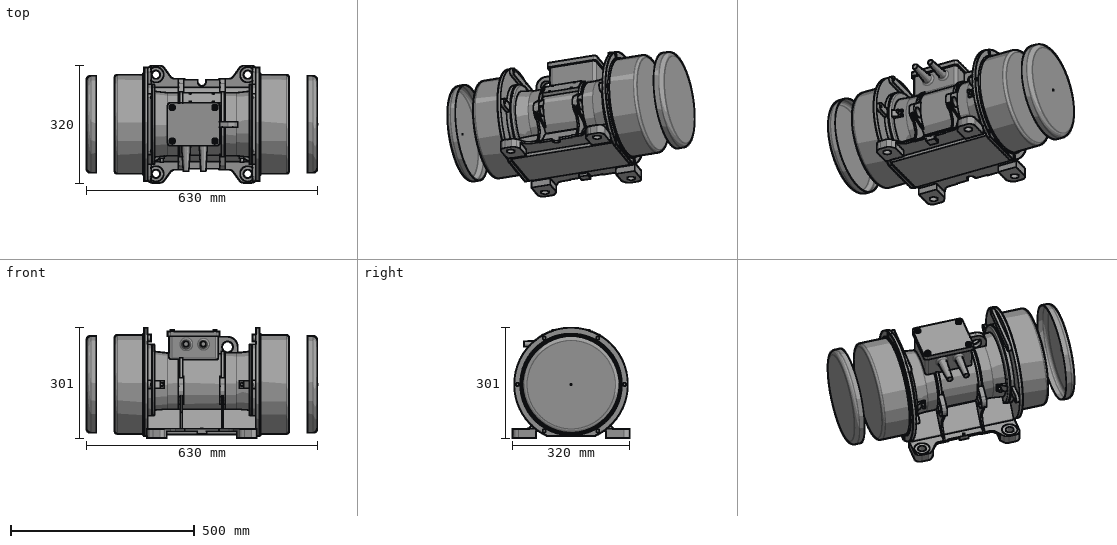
import cadquery as cq
import math


AXIS_HEIGHT = 146.0
BASE_Z = -AXIS_HEIGHT

FLANGE_RADIUS = 155.0
FLANGE_FLAT_Z = BASE_Z + 5.5
FLANGE_INNER_X = 147.5
FLANGE_OUTER_X = 156.0
BOLT_CIRCLE_RADIUS = 146.0
BOLT_COUNT = 6
BOLT_CLEARANCE_DIAMETER = 9.0
BOSS_HOLE_DIAMETER = 5.0
BOSS_HOLE_DEPTH = 8.0
BOSS_RADIUS = 10.0
BOSS_LENGTH = 9.5
LINK_RADIUS = 11.75
TOP_BAR_HALF_SPAN = BOLT_CIRCLE_RADIUS * math.sin(math.radians(30))
TOP_BAR_Z = BOLT_CIRCLE_RADIUS * math.cos(math.radians(30))

TUBE_RADIUS = 86.0
TUBE_MIDDLE_RADIUS = 84.5
TUBE_FLARE_START_X = 93.5
TUBE_FLARE_RADIUS = 90.0
COLLAR_RADIUS = 109.5
COLLAR_INNER_X = 128.5
COLLAR_ROUND = 4.0
GROOVE_X = 136.0
GROOVE_WIDTH = 2.0
GROOVE_DEPTH = 1.5

PLATE_TOP_Z = BASE_Z + 25.0
PLATE_THICKNESS = 6.0
PLATE_HALF_WIDTH = 124.0
PLATE_WAIST_HALF_WIDTH = 121.5
PLATE_WAIST_HALF_LENGTH = 47.0
SLAB_BOTTOM_Z = BASE_Z + 9.0
SLAB_HALF_WIDTH = 72.0
CENTRE_BLOCK_LENGTH = 26.0
CENTRE_BLOCK_DEPTH = 24.0
CENTRE_BLOCK_BOTTOM_Z = BASE_Z + 11.0
STUD_DIAMETER = 5.0
STUD_RISE = 2.0
STUD_Y = -116.0
SADDLE_BOTTOM_HALF_WIDTH = 99.0
SADDLE_TOE_HALF_WIDTH = 101.5
SADDLE_TOE_HEIGHT = 2.0
SADDLE_TOP_HALF_WIDTH = 54.0
SADDLE_TOP_Z = -67.0
NOTCH_DIAMETER = 22.0
NOTCH_CENTRE_Y = 116.0
FOOT_HOLE_X = 125.0
FOOT_HOLE_Y = 135.0
FOOT_HOLE_DIAMETER = 22.0
FOOT_SPOTFACE_DIAMETER = 42.0
FOOT_SPOTFACE_DEPTH = 0.5
FOOT_RADIUS = 25.0
FOOT_PAD_INNER_X = 95.0
FOOT_INNER_Y = 95.0
FOOT_CORNER = 16.0
FOOT_TIP_END_X = 107.0
FOOT_ROOT_X = 81.0

LUG_X = 56.5
LUG_THICKNESS = 15.0
TUBE_STEP_X = LUG_X + LUG_THICKNESS / 2
LUG_CENTRE = (98.0, -19.0)
LUG_RADIUS = 25.5
LUG_HOLE_DIAMETER = 29.0
LUG_TOP_ROOT = (83.0, 22.0)
LUG_BOTTOM_ROOT = (68.0, -54.0)
RIB_THICKNESS = 5.0
RIB_WAIST = (97.5, -76.0)
RIB_CURVE_MIDDLE = (102.0, -101.0)
RIB_FOOT_Y = 117.0
BAND_WIDTH = 8.0
BAND_RADIUS = 90.0
EYE_X = 70.0
EYE_Z = 102.0
EYE_RADIUS = 28.0
EYE_HOLE_DIAMETER = 29.0
EYE_THICKNESS = 15.0

BOX_X = -22.5
BOX_LENGTH = 134.0
BOX_WIDTH = 106.0
BOX_BOTTOM_Z = 64.5
BOX_CORNER = 8.0
BOX_BOTTOM_ROUND = 4.0
LID_LENGTH = 142.0
LID_WIDTH = 117.0
LID_CORNER = 8.0
LID_BOTTOM_Z = 131.0
LID_TOP_Z = 144.5
SCREW_PITCH_X = 116.5
SCREW_PITCH_Y = 91.5
SCREW_POCKET_DIAMETER = 16.0
SCREW_POCKET_DEPTH = 3.0
SCREW_HEAD_DIAMETER = 10.5
SCREW_HEAD_RISE = 4.0
SCREW_SOCKET_DIAMETER = 5.0
SCREW_SOCKET_DEPTH = 4.0
GLAND_Z = 110.0
GLAND_TIP_Y = -128.5
GLAND_FLARE = 5.0
GLANDS = [(-43.0, 25.0, 14.97), (4.0, 22.0, 14.5)]

PAD_ANGLE = 50.0
PAD_RADIUS = 92.0
PAD_LENGTH = 105.0
PAD_WIDTH = 42.0
PAD_SHIFT = 3.0
RIVET_DIAMETER = 5.0
RIVET_RISE = 0.8
RIVET_PITCH_X = 63.0
RIVET_PITCH_SLOPE = 36.0

EARTH_INNER_X = 102.0
EARTH_HEIGHT = 20.0
EARTH_COLLAR_Y = -102.0
EARTH_TIP_Y = -92.0
EARTH_SCREW_X = 109.0
EARTH_SCREW_DIAMETER = 9.0
EARTH_SCREW_LENGTH = 12.0

SHEET = 1.5
COVER_DIAMETER = 270.5
COVER_END_X = 238.0
COVER_END_ROUND = 8.0
COVER_ROOT_ROUND = 3.5
CAP_DIAMETER = 265.0
CAP_END_X = 314.5
CAP_DEPTH = 27.0
CAP_ROUND = 12.0
NUB_DIAMETER = 3.2
NUB_RISE = 1.0


def cylinder_x(radius, x_start, x_end, y=0.0, z=0.0):
    """Cylinder parallel to X, running from x_start to x_end."""
    direction = cq.Vector(math.copysign(1, x_end - x_start), 0, 0)
    solid = cq.Solid.makeCylinder(radius, abs(x_end - x_start), cq.Vector(x_start, y, z), direction)
    return cq.Workplane(solid)


def block(x_range, y_range, z_range):
    """Box given by its limits along each axis."""
    lengths = [high - low for low, high in (x_range, y_range, z_range)]
    corner = cq.Vector(x_range[0], y_range[0], z_range[0])
    return cq.Workplane(cq.Solid.makeBox(*lengths, corner))


def other_end(shape):
    """Copy of a shape on the opposite end of the motor."""
    return shape.mirror("YZ")


def both_ends(shape):
    return shape.union(other_end(shape))


def both_sides(shape):
    return shape.union(shape.mirror("XZ"))


def tangent_point(point, centre, radius, turn):
    """Point where a line from `point` touches a circle; `turn` (+1 or -1) picks the side."""
    away_y = point[0] - centre[0]
    away_z = point[1] - centre[1]
    angle = math.atan2(away_z, away_y) + turn * math.acos(radius / math.hypot(away_y, away_z))
    return (centre[0] + radius * math.cos(angle), centre[1] + radius * math.sin(angle))


def bolt_positions():
    """(y, z) of the flange bolts, starting on the +Y axis."""
    angles = [2 * math.pi * i / BOLT_COUNT for i in range(BOLT_COUNT)]
    return [(BOLT_CIRCLE_RADIUS * math.cos(a), BOLT_CIRCLE_RADIUS * math.sin(a)) for a in angles]


def flange_disc(x_start, x_end):
    """Round flange with its lower edge cut flat."""
    disc = cylinder_x(FLANGE_RADIUS, x_start, x_end)
    span = (-FLANGE_RADIUS, FLANGE_RADIUS)
    return disc.intersect(block((x_start, x_end), span, (FLANGE_FLAT_Z, FLANGE_RADIUS)))


def motor_tube():
    half_profile = (
        cq.Workplane("XY")
        .moveTo(0, 0)
        .lineTo(0, TUBE_MIDDLE_RADIUS)
        .lineTo(TUBE_STEP_X, TUBE_MIDDLE_RADIUS)
        .lineTo(TUBE_STEP_X, TUBE_RADIUS)
        .lineTo(TUBE_FLARE_START_X, TUBE_RADIUS)
        .lineTo(COLLAR_INNER_X, TUBE_FLARE_RADIUS)
        .lineTo(COLLAR_INNER_X, COLLAR_RADIUS - COLLAR_ROUND)
        .radiusArc((COLLAR_INNER_X + COLLAR_ROUND, COLLAR_RADIUS), COLLAR_ROUND)
        .lineTo(GROOVE_X - GROOVE_WIDTH / 2, COLLAR_RADIUS)
        .lineTo(GROOVE_X - GROOVE_WIDTH / 2, COLLAR_RADIUS - GROOVE_DEPTH)
        .lineTo(GROOVE_X + GROOVE_WIDTH / 2, COLLAR_RADIUS - GROOVE_DEPTH)
        .lineTo(GROOVE_X + GROOVE_WIDTH / 2, COLLAR_RADIUS)
        .lineTo(FLANGE_OUTER_X, COLLAR_RADIUS)
        .lineTo(FLANGE_OUTER_X, 0)
        .close()
    )
    return both_ends(half_profile.revolve(360, (0, 0, 0), (1, 0, 0)))


def bolt_bosses():
    """Bar joining the two upper bolts and a link from the collar to each side bolt."""
    boss_x = FLANGE_INNER_X - BOSS_LENGTH
    link_end_y = FLANGE_RADIUS - LINK_RADIUS
    bar = block(
        (boss_x, FLANGE_INNER_X),
        (-TOP_BAR_HALF_SPAN, TOP_BAR_HALF_SPAN),
        (TOP_BAR_Z - BOSS_RADIUS, TOP_BAR_Z + BOSS_RADIUS),
    )
    bar_end = cylinder_x(BOSS_RADIUS, boss_x, FLANGE_INNER_X, TOP_BAR_HALF_SPAN, TOP_BAR_Z)
    link = block((boss_x, FLANGE_INNER_X), (0, link_end_y), (-LINK_RADIUS, LINK_RADIUS))
    link_end = cylinder_x(LINK_RADIUS, boss_x, FLANGE_INNER_X, link_end_y)
    return bar.union(both_sides(bar_end)).union(both_sides(link.union(link_end)))


def housing_flange():
    return flange_disc(FLANGE_INNER_X, FLANGE_OUTER_X).union(bolt_bosses())


def boss_holes():
    """Blind holes in the inner faces of the bosses, at the side and upper bolts."""
    boss_x = FLANGE_INNER_X - BOSS_LENGTH
    holes = cq.Workplane("XY")
    for y, z in bolt_positions():
        if z > -BOSS_RADIUS:
            holes = holes.add(
                cylinder_x(BOSS_HOLE_DIAMETER / 2, boss_x, boss_x + BOSS_HOLE_DEPTH, y, z)
            )
    return both_ends(holes.combine())


def saddle():
    """Support with sloping sides between the base plate and the tube."""
    return (
        cq.Workplane("YZ")
        .moveTo(-SADDLE_TOE_HALF_WIDTH, PLATE_TOP_Z)
        .lineTo(-SADDLE_BOTTOM_HALF_WIDTH, PLATE_TOP_Z + SADDLE_TOE_HEIGHT)
        .lineTo(-SADDLE_TOP_HALF_WIDTH, SADDLE_TOP_Z)
        .lineTo(SADDLE_TOP_HALF_WIDTH, SADDLE_TOP_Z)
        .lineTo(SADDLE_BOTTOM_HALF_WIDTH, PLATE_TOP_Z + SADDLE_TOE_HEIGHT)
        .lineTo(SADDLE_TOE_HALF_WIDTH, PLATE_TOP_Z)
        .close()
        .extrude(FLANGE_INNER_X, both=True)
    )


def foot():
    """Foot in the +X, +Y corner: a thick pad that thins out towards the base plate."""
    outer_x = FOOT_HOLE_X + FOOT_RADIUS
    tip_y = FOOT_HOLE_Y + FOOT_RADIUS
    height = PLATE_TOP_Z - BASE_Z
    outline = (
        cq.Workplane("XY", origin=(0, 0, BASE_Z))
        .moveTo(outer_x, FOOT_INNER_Y)
        .lineTo(outer_x, tip_y)
        .lineTo(FOOT_TIP_END_X, tip_y)
        .lineTo(FOOT_ROOT_X, PLATE_HALF_WIDTH)
        .lineTo(LUG_X, PLATE_HALF_WIDTH)
        .lineTo(LUG_X, FOOT_INNER_Y)
        .close()
        .extrude(height)
        .edges("|Z and >Y")
        .fillet(FOOT_CORNER)
    )
    root = cq.selectors.NearestToPointSelector((FOOT_ROOT_X, PLATE_HALF_WIDTH, BASE_Z + height / 2))
    outline = outline.edges("|Z").edges(root).fillet(FOOT_CORNER)
    under_plate = block(
        (0, FOOT_PAD_INNER_X), (0, tip_y), (BASE_Z, PLATE_TOP_Z - PLATE_THICKNESS)
    )
    return outline.cut(under_plate)


def foot_bores():
    """Bolt hole and spotface of the foot in each corner."""
    bore = (
        cq.Workplane("XY", origin=(FOOT_HOLE_X, FOOT_HOLE_Y, BASE_Z))
        .circle(FOOT_HOLE_DIAMETER / 2)
        .extrude(PLATE_TOP_Z - BASE_Z)
    )
    spotface = (
        cq.Workplane("XY", origin=(FOOT_HOLE_X, FOOT_HOLE_Y, PLATE_TOP_Z - FOOT_SPOTFACE_DEPTH))
        .circle(FOOT_SPOTFACE_DIAMETER / 2)
        .extrude(FOOT_SPOTFACE_DEPTH)
    )
    spotface = spotface.intersect(
        block((0, FLANGE_INNER_X), (0, FLANGE_RADIUS * 2), (BASE_Z, PLATE_TOP_Z))
    )
    return both_sides(both_ends(bore.union(spotface)))


def base_plate():
    """Thin plate with slightly waisted long edges, on a narrower slab."""
    corner = [
        (FOOT_ROOT_X, PLATE_HALF_WIDTH),
        (PLATE_WAIST_HALF_LENGTH, PLATE_HALF_WIDTH),
        (PLATE_WAIST_HALF_LENGTH - 1, PLATE_WAIST_HALF_WIDTH),
    ]
    upper = corner + [(-x, y) for x, y in reversed(corner)]
    lower = [(x, -y) for x, y in reversed(upper)]
    plate = (
        cq.Workplane("XY", origin=(0, 0, PLATE_TOP_Z - PLATE_THICKNESS))
        .polyline(upper + lower)
        .close()
        .extrude(PLATE_THICKNESS)
    )
    slab = block(
        (-FLANGE_INNER_X, FLANGE_INNER_X),
        (-SLAB_HALF_WIDTH, SLAB_HALF_WIDTH),
        (SLAB_BOTTOM_Z, PLATE_TOP_Z),
    )
    flange_webs = block(
        (-FLANGE_INNER_X, FLANGE_INNER_X),
        (-FOOT_INNER_Y, FOOT_INNER_Y),
        (PLATE_TOP_Z - PLATE_THICKNESS, PLATE_TOP_Z),
    )
    centre_block = block(
        (-CENTRE_BLOCK_LENGTH / 2, CENTRE_BLOCK_LENGTH / 2),
        (-PLATE_WAIST_HALF_WIDTH, CENTRE_BLOCK_DEPTH - PLATE_WAIST_HALF_WIDTH),
        (CENTRE_BLOCK_BOTTOM_Z, PLATE_TOP_Z - PLATE_THICKNESS),
    )
    stud = (
        cq.Workplane("XY", origin=(0, STUD_Y, PLATE_TOP_Z))
        .circle(STUD_DIAMETER / 2)
        .extrude(STUD_RISE)
    )
    return plate.union(slab).union(flange_webs).union(centre_block).union(stud)


def edge_notch():
    """Round notch in the +Y edge of the base, open to the outside."""
    height = PLATE_TOP_Z - BASE_Z
    return (
        cq.Workplane("XY", origin=(0, NOTCH_CENTRE_Y + NOTCH_DIAMETER / 2, BASE_Z))
        .slot2D(NOTCH_DIAMETER * 2, NOTCH_DIAMETER, 90)
        .extrude(height)
    )


def lug():
    """Thick lifting lug on the +Y side with the thin rib that runs down to the base."""
    top_touch = tangent_point(LUG_TOP_ROOT, LUG_CENTRE, LUG_RADIUS, -1)
    bottom_touch = tangent_point(LUG_BOTTOM_ROOT, LUG_CENTRE, LUG_RADIUS, 1)
    rib_touch = tangent_point(RIB_WAIST, LUG_CENTRE, LUG_RADIUS, 1)
    tip = (LUG_CENTRE[0] + LUG_RADIUS, LUG_CENTRE[1])
    thick = (
        cq.Workplane("YZ", origin=(LUG_X, 0, 0))
        .moveTo(0, LUG_TOP_ROOT[1])
        .lineTo(*LUG_TOP_ROOT)
        .lineTo(*top_touch)
        .threePointArc(tip, bottom_touch)
        .lineTo(*LUG_BOTTOM_ROOT)
        .lineTo(0, LUG_BOTTOM_ROOT[1])
        .close()
        .extrude(LUG_THICKNESS / 2, both=True)
    )
    rib = (
        cq.Workplane("YZ", origin=(LUG_X, 0, 0))
        .moveTo(0, LUG_CENTRE[1])
        .lineTo(*LUG_CENTRE)
        .lineTo(*rib_touch)
        .lineTo(*RIB_WAIST)
        .threePointArc(RIB_CURVE_MIDDLE, (RIB_FOOT_Y, PLATE_TOP_Z))
        .lineTo(0, PLATE_TOP_Z)
        .close()
        .extrude(RIB_THICKNESS / 2, both=True)
    )
    hole = cylinder_x(
        LUG_HOLE_DIAMETER / 2, LUG_X - LUG_THICKNESS, LUG_X + LUG_THICKNESS, *LUG_CENTRE
    )
    return thick.union(rib).cut(hole)


def tube_band():
    """Raised band over the upper half of the tube, between the lugs."""
    band = cylinder_x(BAND_RADIUS, LUG_X - BAND_WIDTH / 2, LUG_X + BAND_WIDTH / 2)
    span = (-BAND_RADIUS, BAND_RADIUS)
    return band.intersect(block((0, LUG_X * 2), span, (0, BAND_RADIUS)))


def lifting_eye():
    """Upright eye plate standing on the tube beside the terminal box."""
    top_z = EYE_Z + EYE_RADIUS
    end_x = EYE_X + EYE_RADIUS
    plate = (
        cq.Workplane("XZ")
        .lineTo(end_x, 0)
        .lineTo(end_x, EYE_Z)
        .radiusArc((EYE_X, top_z), -EYE_RADIUS)
        .lineTo(0, top_z)
        .close()
        .extrude(EYE_THICKNESS / 2, both=True)
    )
    hole = (
        cq.Workplane("XZ", origin=(EYE_X, 0, EYE_Z))
        .circle(EYE_HOLE_DIAMETER / 2)
        .extrude(EYE_THICKNESS, both=True)
    )
    return plate.cut(hole)


def terminal_box():
    walls = (
        cq.Workplane("XY", origin=(BOX_X, 0, BOX_BOTTOM_Z))
        .rect(BOX_LENGTH, BOX_WIDTH)
        .extrude(LID_BOTTOM_Z - BOX_BOTTOM_Z)
        .faces("<Z")
        .edges("|Y")
        .fillet(BOX_BOTTOM_ROUND)
        .edges("|Z")
        .fillet(BOX_CORNER)
    )
    lid = (
        cq.Workplane("XY", origin=(BOX_X, 0, LID_BOTTOM_Z))
        .rect(LID_LENGTH, LID_WIDTH)
        .extrude(LID_TOP_Z - LID_BOTTOM_Z)
        .edges("|Z")
        .fillet(LID_CORNER)
    )
    corners = cq.Workplane("XY", origin=(BOX_X, 0, LID_TOP_Z - SCREW_POCKET_DEPTH)).rect(
        SCREW_PITCH_X, SCREW_PITCH_Y, forConstruction=True
    ).vertices()
    pockets = corners.circle(SCREW_POCKET_DIAMETER / 2).extrude(SCREW_POCKET_DEPTH)
    heads = corners.circle(SCREW_HEAD_DIAMETER / 2).extrude(SCREW_POCKET_DEPTH + SCREW_HEAD_RISE)
    sockets = (
        heads.faces(">Z")
        .workplane(origin=(BOX_X, 0, 0))
        .rect(SCREW_PITCH_X, SCREW_PITCH_Y, forConstruction=True)
        .vertices()
        .circle(SCREW_SOCKET_DIAMETER / 2)
        .extrude(-SCREW_SOCKET_DEPTH, combine=False)
    )
    return walls.union(lid.cut(pockets)).union(heads.cut(sockets))


def cable_gland(x, root_diameter, tip_diameter):
    """Tapered cable sleeve with a flared root on the -Y wall of the box."""
    wall_y = -BOX_WIDTH / 2
    return (
        cq.Workplane("XY", origin=(x, 0, GLAND_Z))
        .moveTo(0, wall_y)
        .lineTo(root_diameter / 2 + GLAND_FLARE, wall_y)
        .radiusArc((root_diameter / 2, wall_y - GLAND_FLARE), -GLAND_FLARE)
        .lineTo(tip_diameter / 2, GLAND_TIP_Y)
        .lineTo(0, GLAND_TIP_Y)
        .close()
        .revolve(360, (0, 0, 0), (0, 1, 0))
    )


def nameplate_pad():
    """Flat tilted pad with four rivets."""
    pad = cq.Workplane("XY", origin=(0, PAD_SHIFT, 0)).rect(PAD_LENGTH, PAD_WIDTH).extrude(PAD_RADIUS)
    rivets = (
        cq.Workplane("XY", origin=(0, PAD_SHIFT, PAD_RADIUS))
        .rect(RIVET_PITCH_X, RIVET_PITCH_SLOPE, forConstruction=True)
        .vertices()
        .circle(RIVET_DIAMETER / 2)
        .extrude(RIVET_RISE)
    )
    return pad.union(rivets).rotate((0, 0, 0), (1, 0, 0), -PAD_ANGLE)


def earth_terminal():
    body = (
        cq.Workplane("XY", origin=(0, 0, -EARTH_HEIGHT / 2))
        .moveTo(COLLAR_INNER_X, 0)
        .lineTo(COLLAR_INNER_X, EARTH_COLLAR_Y)
        .lineTo(EARTH_SCREW_X + EARTH_SCREW_DIAMETER / 2, EARTH_TIP_Y)
        .lineTo(EARTH_INNER_X, EARTH_TIP_Y)
        .lineTo(EARTH_INNER_X, 0)
        .close()
        .extrude(EARTH_HEIGHT)
    )
    screw = (
        cq.Workplane("XZ", origin=(EARTH_SCREW_X, EARTH_TIP_Y, 0))
        .circle(EARTH_SCREW_DIAMETER / 2)
        .extrude(EARTH_SCREW_LENGTH)
    )
    return body.union(screw)


def make_housing():
    body = motor_tube().union(both_ends(housing_flange()))
    body = body.union(saddle()).union(base_plate())
    body = body.union(both_sides(both_ends(foot())))
    body = body.union(both_sides(both_ends(lug()))).union(both_ends(tube_band()))
    body = body.union(lifting_eye()).union(terminal_box())
    for gland in GLANDS:
        body = body.union(cable_gland(*gland))
    body = body.union(nameplate_pad()).union(both_ends(earth_terminal()))
    return body.cut(foot_bores()).cut(edge_notch()).cut(boss_holes())


def make_cover():
    """Cover on the +X end."""
    radius = COVER_DIAMETER / 2
    flange_face_x = FLANGE_OUTER_X + SHEET
    outer = (
        cq.Workplane("XY")
        .moveTo(FLANGE_OUTER_X, 0)
        .lineTo(FLANGE_OUTER_X, radius + COVER_ROOT_ROUND)
        .lineTo(flange_face_x, radius + COVER_ROOT_ROUND)
        .radiusArc((flange_face_x + COVER_ROOT_ROUND, radius), COVER_ROOT_ROUND)
        .lineTo(COVER_END_X - COVER_END_ROUND, radius)
        .radiusArc((COVER_END_X, radius - COVER_END_ROUND), COVER_END_ROUND)
        .lineTo(COVER_END_X, 0)
        .close()
        .revolve(360, (0, 0, 0), (1, 0, 0))
    )
    inner_round = COVER_END_ROUND - SHEET
    inner = (
        cylinder_x(radius - SHEET, FLANGE_OUTER_X, COVER_END_X - SHEET)
        .faces(">X")
        .edges()
        .fillet(inner_round)
    )
    cover = flange_disc(FLANGE_OUTER_X, flange_face_x).union(outer).cut(inner)
    for y, z in bolt_positions():
        cover = cover.cut(
            cylinder_x(BOLT_CLEARANCE_DIAMETER / 2, FLANGE_OUTER_X, flange_face_x, y, z)
        )
    return cover


def make_cap():
    """Cap on the +X end."""
    mouth_x = CAP_END_X - CAP_DEPTH
    outer = cylinder_x(CAP_DIAMETER / 2, mouth_x, CAP_END_X).faces(">X").edges().fillet(CAP_ROUND)
    inner = (
        cylinder_x(CAP_DIAMETER / 2 - SHEET, mouth_x, CAP_END_X - SHEET)
        .faces(">X")
        .edges()
        .fillet(CAP_ROUND - SHEET)
    )
    return outer.cut(inner)


def centre_nub():
    """Small nub at the centre of the +X cap."""
    return cylinder_x(NUB_DIAMETER / 2, CAP_END_X - SHEET, CAP_END_X + NUB_RISE)


housing = make_housing()
right_cover = make_cover()
left_cover = other_end(right_cover)
right_cap = make_cap().union(centre_nub())
left_cap = other_end(make_cap())

result = cq.Compound.makeCompound(
    [housing.val(), left_cover.val(), right_cover.val(), left_cap.val(), right_cap.val()]
)